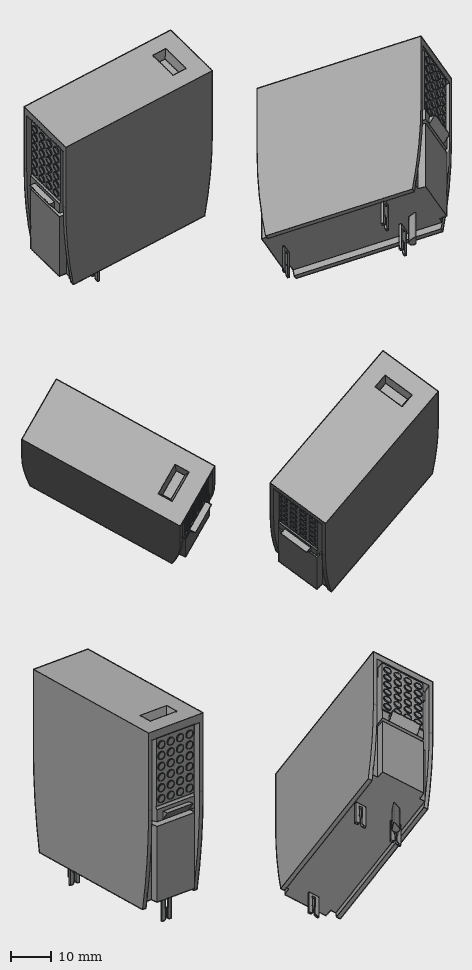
import cadquery as cq
import math

THICKNESS = 17.5
DEPTH = 45.0
TOP_Z = 56.1
HALF_X = THICKNESS / 2
END_Y = DEPTH / 2
SKIN = 1.1
INNER_HALF_X = HALF_X - SKIN

CHEEK_BOTTOM_Z = 6.1
CHEEK_CURVE_Z = 34.55
CHEEK_INSET = 2.35
CORE_BOTTOM_Z = 8.2

FLOOR_DEPTH = 2.0
POCKET_DEPTH = 3.15
FLOOR_Y = END_Y - FLOOR_DEPTH
POCKET_Y = END_Y - POCKET_DEPTH
RECESS_TOP_Z = 53.75
POCKET_TOP_Z = 49.75
POCKET_LEAN = math.tan(math.radians(1.0))
ROOF_SLOPE = math.tan(math.radians(10.2))
DRAFT_OFFSET = 0.2

PANEL_FRONT_WIDTH = 12.05
PANEL_FRONT_HALF_X = PANEL_FRONT_WIDTH / 2
PANEL_BASE_HALF_X = PANEL_FRONT_HALF_X + DRAFT_OFFSET
LATCH_Y = END_Y
BUTTON_PLATE_Y = END_Y - 0.3
PANEL_BOTTOM_Z = 30.6
LATCH_TOP_Z = 33.95
GROOVE_HEIGHT = 0.8
GROOVE_RADIUS = 0.55
BLOCK_TOP_Z = 29.3

NOSE_WIDTH = 8.2
LENGTH_OVER_NOSES = 48.4
NOSE_TIP_Y = LENGTH_OVER_NOSES / 2
NOSE_TIP_Z = 33.1
NOSE_TOP_SLOPE = math.tan(math.radians(6.3))
NOSE_UNDERSIDE_SLOPE = math.tan(math.radians(34.0))

BUTTON_COLUMNS = 4
BUTTON_ROWS = 6
BUTTON_GRID_HEIGHT = 15.0
BUTTON_PITCH = BUTTON_GRID_HEIGHT / (BUTTON_ROWS - 1)
BUTTON_DIAMETER = 2.2
BUTTON_FACE_DIAMETER = 2.0
BUTTON_HEIGHT = 0.3
TOP_BUTTON_Z = 51.45

TOP_POCKET_X = 8.5
TOP_POCKET_Y = 4.0
TOP_POCKET_CENTRE_Y = 15.7
TOP_POCKET_INSET = 0.8
TOP_POCKET_DEPTH = 2.6

PIN_WIDTH = 3.0
PIN_PITCH = 5.15
SLOT_TOP_Z = 7.2
SLOT_WIDTH = 1.0
NECK_WIDTH = 0.6
NECK_TOP_Z = 3.15
SHOULDER_HEIGHT = 0.35
MOUTH_HEIGHT = 0.9
MOUTH_WIDTH = 1.7
FRONT_PIN_Y = -10.9
FRONT_PIN_THICKNESS = 0.6
BACK_PIN_Y = 18.75
BACK_PIN_THICKNESS = 0.45

POST_BIG_RADIUS = 0.95
POST_SMALL_RADIUS = 0.14
POST_BIG_CENTRE = (3.0, -14.55)
POST_AXIS_STEP = 1.45
POST_AXIS_ANGLE = math.radians(45)

EMBED = 0.55


def extrude_along_x(profile, half_x):
    """Extrude a closed YZ profile symmetrically about X = 0."""
    return profile.extrude(half_x, both=True)


def drafted_plan(back_half_x, back_y, front_half_x, front_y):
    """Full-height prism whose plan narrows or widens between two Y positions on the -Y end."""
    corners = [
        (-back_half_x, -back_y),
        (back_half_x, -back_y),
        (front_half_x, -front_y),
        (-front_half_x, -front_y),
    ]
    return cq.Workplane("XY").polyline(corners).close().extrude(TOP_Z)


def housing():
    """Curved-edge outer block, hollowed under the core between the two cheeks."""
    drop = CHEEK_CURVE_Z - CHEEK_BOTTOM_Z
    radius = (drop**2 + CHEEK_INSET**2) / (2 * CHEEK_INSET)
    half_angle = math.asin(drop / radius) / 2
    mid_y = END_Y - radius * (1 - math.cos(half_angle))
    mid_z = CHEEK_CURVE_Z - radius * math.sin(half_angle)
    bottom_y = END_Y - CHEEK_INSET
    outline = (
        cq.Workplane("YZ")
        .moveTo(-END_Y, TOP_Z)
        .lineTo(END_Y, TOP_Z)
        .lineTo(END_Y, CHEEK_CURVE_Z)
        .threePointArc((mid_y, mid_z), (bottom_y, CHEEK_BOTTOM_Z))
        .lineTo(-bottom_y, CHEEK_BOTTOM_Z)
        .threePointArc((-mid_y, mid_z), (-END_Y, CHEEK_CURVE_Z))
        .close()
    )
    under_core = cq.Workplane("XY").box(
        2 * INNER_HALF_X, DEPTH, CORE_BOTTOM_Z, centered=(True, True, False)
    )
    core = cq.Workplane("XY").workplane(offset=CORE_BOTTOM_Z).box(
        2 * INNER_HALF_X, 2 * FLOOR_Y, CHEEK_CURVE_Z - CORE_BOTTOM_Z, centered=(True, True, False)
    )
    return extrude_along_x(outline, HALF_X).cut(under_core).union(core)


def end_recess():
    """Stepped recess removed from the -Y end, with sloping roofs."""
    shallow = cq.Workplane("YZ").polyline([
        (-END_Y, CORE_BOTTOM_Z),
        (-FLOOR_Y, CORE_BOTTOM_Z),
        (-FLOOR_Y, RECESS_TOP_Z - ROOF_SLOPE * FLOOR_DEPTH),
        (-END_Y, RECESS_TOP_Z),
    ]).close()
    pocket_height = POCKET_TOP_Z - BLOCK_TOP_Z
    roof_drop = ROOF_SLOPE * (POCKET_DEPTH - FLOOR_DEPTH)
    deep = cq.Workplane("YZ").polyline([
        (-FLOOR_Y, BLOCK_TOP_Z),
        (-POCKET_Y, BLOCK_TOP_Z),
        (-POCKET_Y + POCKET_LEAN * pocket_height, POCKET_TOP_Z - roof_drop),
        (-FLOOR_Y, POCKET_TOP_Z),
    ]).close()
    pocket_plan = drafted_plan(INNER_HALF_X - DRAFT_OFFSET, POCKET_Y - EMBED, INNER_HALF_X, FLOOR_Y)
    return extrude_along_x(shallow, INNER_HALF_X).union(
        extrude_along_x(deep, INNER_HALF_X).intersect(pocket_plan)
    )


def label_block():
    """Drafted block filling the lower part of the recess, flush with the end face."""
    back_y = FLOOR_Y - EMBED
    profile = cq.Workplane("YZ").polyline([
        (-END_Y, CORE_BOTTOM_Z),
        (-back_y, CORE_BOTTOM_Z),
        (-back_y, BLOCK_TOP_Z),
        (-END_Y, BLOCK_TOP_Z),
    ]).close()
    plan = drafted_plan(PANEL_BASE_HALF_X, back_y, PANEL_FRONT_HALF_X, END_Y)
    return extrude_along_x(profile, PANEL_BASE_HALF_X).intersect(plan)


def panel():
    """Drafted panel: button plate above, a concave groove, then the latch plate with an undercut."""
    back_y = POCKET_Y - EMBED
    groove_top_z = LATCH_TOP_Z + GROOVE_HEIGHT
    profile = (
        cq.Workplane("YZ")
        .moveTo(-back_y, RECESS_TOP_Z)
        .lineTo(-BUTTON_PLATE_Y, RECESS_TOP_Z)
        .lineTo(-BUTTON_PLATE_Y, groove_top_z)
        .radiusArc((-LATCH_Y, LATCH_TOP_Z), GROOVE_RADIUS)
        .lineTo(-LATCH_Y, PANEL_BOTTOM_Z)
        .lineTo(-back_y, PANEL_BOTTOM_Z - ROOF_SLOPE * (LATCH_Y - back_y))
        .close()
    )
    plan = drafted_plan(PANEL_BASE_HALF_X, back_y, PANEL_FRONT_HALF_X, LATCH_Y)
    return extrude_along_x(profile, PANEL_BASE_HALF_X).intersect(plan)


def latch_nose():
    """Wedge-shaped catch projecting beyond the end face."""
    root_y = LATCH_Y - EMBED
    reach = NOSE_TIP_Y - root_y
    profile = cq.Workplane("YZ").polyline([
        (-NOSE_TIP_Y, NOSE_TIP_Z),
        (-root_y, NOSE_TIP_Z - NOSE_TOP_SLOPE * reach),
        (-root_y, PANEL_BOTTOM_Z),
        (-NOSE_TIP_Y + NOSE_UNDERSIDE_SLOPE * (NOSE_TIP_Z - PANEL_BOTTOM_Z), PANEL_BOTTOM_Z),
    ]).close()
    return extrude_along_x(profile, NOSE_WIDTH / 2)


def buttons():
    """Grid of slightly tapered round studs on the button plate."""
    draft_angle = math.degrees(math.atan((BUTTON_DIAMETER - BUTTON_FACE_DIAMETER) / 2 / BUTTON_HEIGHT))
    middle_z = TOP_BUTTON_Z - BUTTON_GRID_HEIGHT / 2
    return (
        cq.Workplane("XZ", origin=(0, -BUTTON_PLATE_Y, middle_z))
        .rarray(BUTTON_PITCH, BUTTON_PITCH, BUTTON_COLUMNS, BUTTON_ROWS)
        .circle(BUTTON_DIAMETER / 2)
        .extrude(BUTTON_HEIGHT, taper=draft_angle)
    )


def top_pocket():
    """Tapered rectangular pocket sunk from the top face."""
    return (
        cq.Workplane("XY", origin=(0, TOP_POCKET_CENTRE_Y, TOP_Z))
        .rect(TOP_POCKET_X, TOP_POCKET_Y)
        .workplane(offset=-TOP_POCKET_DEPTH)
        .rect(TOP_POCKET_X - 2 * TOP_POCKET_INSET, TOP_POCKET_Y - 2 * TOP_POCKET_INSET)
        .loft(combine=True)
    )


def forked_pin(x, y, thickness):
    """Flat pin with a slot that narrows to a neck and opens through a rounded mouth."""
    plane = cq.Workplane("XZ", origin=(x, y + thickness / 2, 0))
    blade_height = CORE_BOTTOM_Z + EMBED
    blade = plane.center(0, blade_height / 2).rect(PIN_WIDTH, blade_height).extrude(thickness)
    slot_half = SLOT_WIDTH / 2
    neck_half = NECK_WIDTH / 2
    mouth_half = MOUTH_WIDTH / 2
    slope_z = NECK_TOP_Z + SHOULDER_HEIGHT
    mouth_mid_x = mouth_half - (mouth_half - neck_half) * math.cos(math.pi / 4)
    mouth_mid_z = MOUTH_HEIGHT * (1 - math.sin(math.pi / 4))
    slot = (
        plane.moveTo(-mouth_half, 0)
        .threePointArc((-mouth_mid_x, mouth_mid_z), (-neck_half, MOUTH_HEIGHT))
        .lineTo(-neck_half, NECK_TOP_Z)
        .lineTo(-slot_half, slope_z)
        .lineTo(-slot_half, SLOT_TOP_Z)
        .lineTo(slot_half, SLOT_TOP_Z)
        .lineTo(slot_half, slope_z)
        .lineTo(neck_half, NECK_TOP_Z)
        .lineTo(neck_half, MOUTH_HEIGHT)
        .threePointArc((mouth_mid_x, mouth_mid_z), (mouth_half, 0))
        .close()
        .extrude(thickness)
    )
    return blade.cut(slot)


def keying_post():
    """Teardrop post: two rounds joined by their outer tangents."""
    big_x, big_y = POST_BIG_CENTRE
    small_x = big_x - POST_AXIS_STEP
    small_y = big_y - POST_AXIS_STEP
    spacing = math.hypot(POST_AXIS_STEP, POST_AXIS_STEP)
    taper = math.asin((POST_BIG_RADIUS - POST_SMALL_RADIUS) / spacing)
    tangent_turn = math.pi / 2 + taper

    def on_big(turn):
        angle = POST_AXIS_ANGLE + turn
        return big_x + POST_BIG_RADIUS * math.cos(angle), big_y + POST_BIG_RADIUS * math.sin(angle)

    def on_small(turn):
        angle = POST_AXIS_ANGLE + turn
        return small_x + POST_SMALL_RADIUS * math.cos(angle), small_y + POST_SMALL_RADIUS * math.sin(angle)

    return (
        cq.Workplane("XY")
        .moveTo(*on_big(-tangent_turn))
        .threePointArc(on_big(0), on_big(tangent_turn))
        .lineTo(*on_small(tangent_turn))
        .threePointArc(on_small(math.pi), on_small(-tangent_turn))
        .close()
        .extrude(CORE_BOTTOM_Z + EMBED)
    )


recess = end_recess()
end_fittings = label_block().union(panel()).union(latch_nose()).union(buttons())

body = housing().cut(top_pocket())
body = body.cut(recess).cut(recess.mirror("XZ"))
body = body.union(end_fittings).union(end_fittings.mirror("XZ"))

for pin_x in (-PIN_PITCH, PIN_PITCH):
    body = body.union(forked_pin(pin_x, FRONT_PIN_Y, FRONT_PIN_THICKNESS))
body = body.union(forked_pin(0, BACK_PIN_Y, BACK_PIN_THICKNESS))

result = body.union(keying_post())